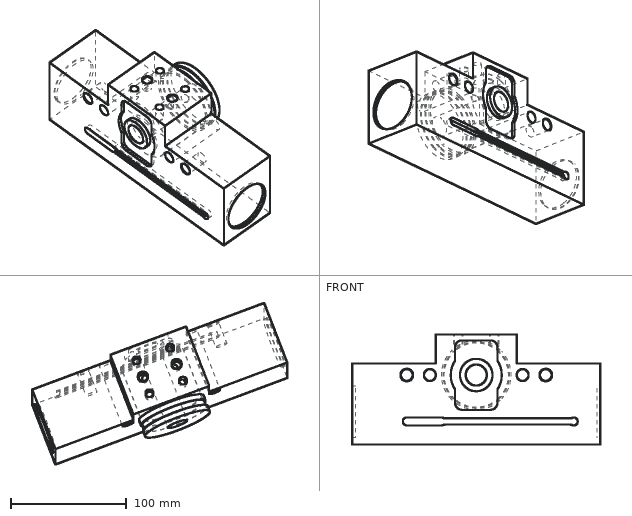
import cadquery as cq
import math

LENGTH = 214.0
DEPTH = 56.0
SHOULDER_HEIGHT = 70.0
TOTAL_HEIGHT = 95.0
TOWER_WIDTH = 70.0
FRONT = -DEPTH / 2
BACK = DEPTH / 2

ROTOR_Z = 60.0
SHAFT_DIAMETER = 28.0
SHAFT_PROTRUSION = 0.96
BORE_DIAMETER = 18.0
DRUM_DIAMETER = 55.5
DRUM_CAVITY_DIAMETER = 56.0
DRUM_FRONT_WALL = 8.0
FLANGE_DIAMETER = 60.0
FLANGE_LENGTH = 15.0
FLANGE_GROOVE_DIAMETER = 57.4
FLANGE_GROOVE_WIDTH = 5.1
FLANGE_RIM_WIDTH = 5.1

POCKET_WIDTH = 36.5
POCKET_HEIGHT = 60.0
POCKET_CORNER_RADIUS = 6.0
POCKET_LOBE_DIAMETER = 44.0
POCKET_DEPTH = 2.8

MOUNT_HOLE_DIAMETER = 10.0
THROUGH_HOLE_X = 40.0
BLIND_HOLE_X = 60.0
BLIND_HOLE_DEPTH = 20.0
BLIND_HOLE_CHAMFER = 0.5

SLOT_Z = 20.0
SLOT_DEPTH = 4.7
WIDE_WIDTH = 6.8
CHANNEL_WIDTH = 6.0
LIP_OPENING = 5.1
LIP_THICKNESS = 2.0
SLOT_LEFT_X = -60.0
WIDE_RIGHT_X = -30.0
SLOT_RIGHT_X = 84.0

TOP_HOLE_SPACING = 31.0
DRILL_POINT_ANGLE = 118.0
SCREW_HOLE_DIAMETER = 6.8
SCREW_HOLE_TIP_DEPTH = 15.0
PORT_DIAMETER = 8.0
PORT_MOUTH_DIAMETER = 9.0
PORT_TIP_DEPTH = 12.6

END_RECESS_DIAMETER = 44.0
END_RECESS_CHAMFER = 0.5
END_RECESS_Z = 28.2
END_RECESS_DEPTH = 3.0


def cylinder_along_y(diameter, y_start, y_end, x=0.0, z=ROTOR_Z):
    """Cylinder parallel to Y between two Y positions."""
    plane = cq.Plane(origin=(x, y_start, z), xDir=(1, 0, 0), normal=(0, 1, 0))
    return cq.Workplane(plane).circle(diameter / 2).extrude(y_end - y_start)


def slot_along_x(x_left, x_right, width, y_start, y_end):
    """Round-ended slot cutter between two end centres, cut along Y."""
    middle = (x_left + x_right) / 2
    plane = cq.Plane(origin=(middle, y_start, SLOT_Z), xDir=(1, 0, 0), normal=(0, 1, 0))
    return cq.Workplane(plane).slot2D(x_right - x_left + width, width).extrude(y_end - y_start)


def housing_block():
    base = cq.Workplane("XY").box(LENGTH, DEPTH, SHOULDER_HEIGHT, centered=(True, True, False))
    tower = cq.Workplane("XY").box(TOWER_WIDTH, DEPTH, TOTAL_HEIGHT, centered=(True, True, False))
    return base.union(tower)


def rotor_cavity():
    """Bore for the front shaft and wider cavity for the drum, open at the back."""
    shaft_bore = cylinder_along_y(SHAFT_DIAMETER, FRONT, BACK)
    drum_cavity = cylinder_along_y(DRUM_CAVITY_DIAMETER, FRONT + DRUM_FRONT_WALL, BACK)
    return shaft_bore.union(drum_cavity)


def front_pocket():
    """Rounded rectangle with a round lobe on each side."""
    rectangle = (
        cq.Workplane("XY")
        .box(POCKET_WIDTH, POCKET_DEPTH, POCKET_HEIGHT)
        .edges("|Y")
        .fillet(POCKET_CORNER_RADIUS)
        .translate((0, FRONT + POCKET_DEPTH / 2, ROTOR_Z))
    )
    return rectangle.union(cylinder_along_y(POCKET_LOBE_DIAMETER, FRONT, FRONT + POCKET_DEPTH))


def chamfered_blind_hole(x):
    """Blind hole in the front face whose mouth widens in a 45 degree chamfer."""
    radius = MOUNT_HOLE_DIAMETER / 2
    profile = [
        (0, 0),
        (radius + BLIND_HOLE_CHAMFER, 0),
        (radius, BLIND_HOLE_CHAMFER),
        (radius, BLIND_HOLE_DEPTH),
        (0, BLIND_HOLE_DEPTH),
    ]
    hole = cq.Workplane("XY").polyline(profile).close().revolve(360, (0, 0), (0, 1))
    return hole.translate((x, FRONT, ROTOR_Z))


def undercut_slot():
    """Wide slot, undercut narrow slot and a round opening at its right end, all on one floor."""
    lip_back = FRONT + LIP_THICKNESS
    floor = FRONT + SLOT_DEPTH
    wide_slot = slot_along_x(SLOT_LEFT_X, WIDE_RIGHT_X, WIDE_WIDTH, FRONT, floor)
    lip_slot = slot_along_x(WIDE_RIGHT_X, SLOT_RIGHT_X, LIP_OPENING, FRONT, lip_back)
    channel = slot_along_x(WIDE_RIGHT_X, SLOT_RIGHT_X, CHANNEL_WIDTH, lip_back, floor)
    round_opening = cylinder_along_y(WIDE_WIDTH, FRONT, floor, SLOT_RIGHT_X, SLOT_Z)
    return wide_slot.union(lip_slot).union(channel).union(round_opening)


def drilled_top_hole(x, y, diameter, mouth_diameter, tip_depth):
    """Hole in the top face with a conical bottom; a wider mouth makes a 45 degree chamfer."""
    radius = diameter / 2
    mouth_radius = mouth_diameter / 2
    point_length = radius / math.tan(math.radians(DRILL_POINT_ANGLE / 2))
    profile = cq.Workplane("XZ").moveTo(0, 0).lineTo(mouth_radius, 0)
    if mouth_radius > radius:
        profile = profile.lineTo(radius, radius - mouth_radius)
    profile = profile.lineTo(radius, point_length - tip_depth).lineTo(0, -tip_depth).close()
    return profile.revolve(360, (0, 0), (0, 1)).translate((x, y, TOTAL_HEIGHT))


def end_recess(side):
    """Round recess in the -X (side -1) or +X (side 1) end face, with a chamfered mouth."""
    radius = END_RECESS_DIAMETER / 2
    profile = [
        (LENGTH / 2, 0),
        (LENGTH / 2, radius + END_RECESS_CHAMFER),
        (LENGTH / 2 - END_RECESS_CHAMFER, radius),
        (LENGTH / 2 - END_RECESS_DEPTH, radius),
        (LENGTH / 2 - END_RECESS_DEPTH, 0),
    ]
    mirrored = [(side * x, r) for x, r in profile]
    recess = cq.Workplane("XY").polyline(mirrored).close().revolve(360, (0, 0), (1, 0))
    return recess.translate((0, 0, END_RECESS_Z))


def make_housing():
    housing = housing_block().cut(rotor_cavity()).cut(front_pocket()).cut(undercut_slot())
    hole_offset = TOP_HOLE_SPACING / 2
    for side in (-1, 1):
        through_hole = cylinder_along_y(MOUNT_HOLE_DIAMETER, FRONT, BACK, side * THROUGH_HOLE_X)
        housing = housing.cut(through_hole)
        housing = housing.cut(chamfered_blind_hole(side * BLIND_HOLE_X))
        housing = housing.cut(end_recess(side))

        x = side * hole_offset
        port = drilled_top_hole(x, 0, PORT_DIAMETER, PORT_MOUTH_DIAMETER, PORT_TIP_DEPTH)
        housing = housing.cut(port)
        for y in (-hole_offset, hole_offset):
            screw_hole = drilled_top_hole(
                x, y, SCREW_HOLE_DIAMETER, SCREW_HOLE_DIAMETER, SCREW_HOLE_TIP_DEPTH
            )
            housing = housing.cut(screw_hole)
    return housing


def make_rotor():
    """Hollow shaft with a drum and a flange that has a groove around its rim."""
    shaft_front = FRONT - SHAFT_PROTRUSION
    flange_back = BACK + FLANGE_LENGTH
    groove_back = flange_back - FLANGE_RIM_WIDTH
    groove_front = groove_back - FLANGE_GROOVE_WIDTH

    shaft = cylinder_along_y(SHAFT_DIAMETER, shaft_front, BACK)
    drum = cylinder_along_y(DRUM_DIAMETER, FRONT + DRUM_FRONT_WALL, BACK)
    front_rim = cylinder_along_y(FLANGE_DIAMETER, BACK, groove_front)
    groove_core = cylinder_along_y(FLANGE_GROOVE_DIAMETER, groove_front, groove_back)
    back_rim = cylinder_along_y(FLANGE_DIAMETER, groove_back, flange_back)
    bore = cylinder_along_y(BORE_DIAMETER, shaft_front, flange_back)
    return shaft.union(drum).union(front_rim).union(groove_core).union(back_rim).cut(bore)


housing = make_housing()
rotor = make_rotor()

result = cq.Compound.makeCompound([*housing.solids().vals(), *rotor.solids().vals()])